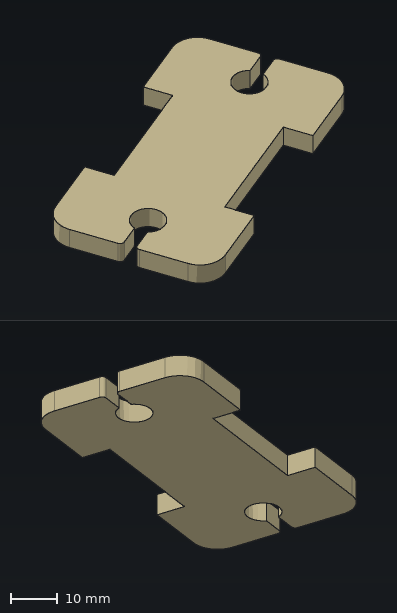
import cadquery as cq

length = 71.8
width = 40.0
thickness = 5.0
corner_radius = 6.0

notch_length = 30.0
notch_depth = 6.95

hole_diameter = 8.0
hole_inset = 9.9
slot_width = 3.0
slot_mouth_radius = 1.0


def plate():
    return (
        cq.Workplane("XY")
        .box(width, length, thickness)
        .edges("|Z")
        .fillet(corner_radius)
    )


def side_notches():
    """Blocks centred on the long sides, so half of each lies in the plate."""
    return (
        cq.Workplane("XY")
        .pushPoints([(-width / 2, 0), (width / 2, 0)])
        .box(2 * notch_depth, notch_length, thickness)
    )


def end_slots():
    """Slots running from each end edge in to the hole centre."""
    return (
        cq.Workplane("XY")
        .pushPoints([(0, side * (length - hole_inset) / 2) for side in (-1, 1)])
        .box(slot_width, hole_inset, thickness)
    )


def end_holes():
    hole_y = length / 2 - hole_inset
    return (
        cq.Workplane("XY", origin=(0, 0, -thickness / 2))
        .pushPoints([(0, -hole_y), (0, hole_y)])
        .circle(hole_diameter / 2)
        .extrude(thickness)
    )


def slot_mouth_edges():
    """Selectors, one per end, for the upright edges where the slots meet the end edges."""
    margin = slot_width / 4
    reach = slot_width / 2 + margin
    return [
        cq.selectors.BoxSelector(
            (-reach, side * length / 2 - margin, -thickness),
            (reach, side * length / 2 + margin, thickness),
        )
        for side in (-1, 1)
    ]


result = plate().cut(side_notches()).cut(end_slots())
for mouth in slot_mouth_edges():
    result = result.edges("|Z").edges(mouth).fillet(slot_mouth_radius)
result = result.cut(end_holes())